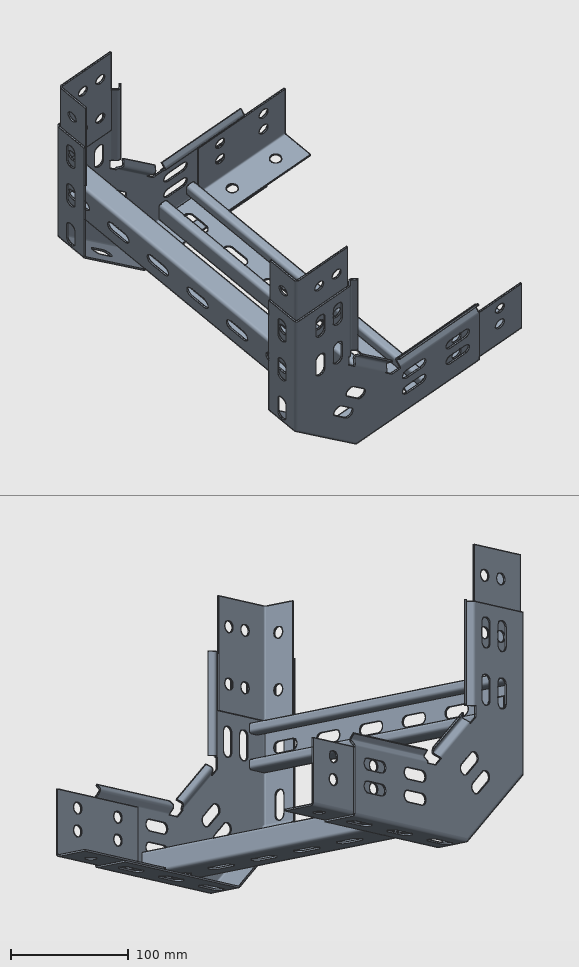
import cadquery as cq
import math


thickness = 1.5
outer_bend = 3.0
inner_bend = outer_bend - thickness

overall_width = 303.0
leg_length = 211.0
leg_height = 60.5
flange_width = 34.8
outer_chamfer = 69.5
inner_chamfer = 49.5
outer_face_x = -overall_width / 2
inner_face_x = outer_face_x + thickness

leg_lip_length = 91.0
corner_lip_length = 51.5
lip_height = 12.0
lip_apex_depth = 5.5
lip_knee_height = 1.2

hole_diameter = 10.3
slot_length = 27.0
hole_pitch = 50.0
hole_margin = hole_pitch / 2
flange_hole_inset = 18.2
wall_row_heights = [28.0, 48.0]
flange_slot_x = outer_face_x + flange_hole_inset
slot_stations = [leg_length - hole_margin - i * hole_pitch for i in range(3)]

splice_length = 100.0
splice_overhang = 50.0
splice_end = leg_length + splice_overhang

rung_width = 41.0
rung_height = 21.2
rung_lip_width = 8.0
rung_lip_drop = 10.0
rung_slot_count = 6
rung_station = slot_stations[1]
rung_length = overall_width - 2 * outer_bend


def other_leg(body):
    """Mirror a body from the Y leg to the Z leg."""
    return body.mirror((0, 1, -1))


def other_side(body):
    """Mirror a body from the -X side to the +X side."""
    return body.mirror("YZ")


def bend_arcs(path, offset):
    """Start, middle and end of the arc at each bend of a line offset to the left of a sheet's midline."""
    middle_radius = inner_bend + thickness / 2
    arcs = []
    for before, corner, after in zip(path, path[1:], path[2:]):
        corner = cq.Vector(*corner)
        incoming = (corner - cq.Vector(*before)).normalized()
        outgoing = (cq.Vector(*after) - corner).normalized()
        turn = math.copysign(1, incoming.cross(outgoing).z)
        half_angle = incoming.getAngle(outgoing) / 2
        to_center = (outgoing - incoming).normalized()
        center = corner + to_center * (middle_radius / math.cos(half_angle))
        radius = middle_radius - turn * offset
        start = center + cq.Vector(incoming.y, -incoming.x) * (turn * radius)
        end = center + cq.Vector(outgoing.y, -outgoing.x) * (turn * radius)
        arcs.append((start, center - to_center * radius, end))
    return arcs


def bent_strip(plane, path):
    """Closed cross-section of a sheet that follows a midline path, with rounded bends."""
    half = thickness / 2
    first, second, second_last, last = [cq.Vector(*p) for p in (path[0], path[1], path[-2], path[-1])]
    start_direction = (second - first).normalized()
    end_direction = (last - second_last).normalized()
    start_left = cq.Vector(-start_direction.y, start_direction.x) * half
    end_left = cq.Vector(-end_direction.y, end_direction.x) * half

    section = cq.Workplane(plane).moveTo(*(first + start_left).toTuple()[:2])
    left_arcs = bend_arcs(path, half)
    right_arcs = [arc[::-1] for arc in reversed(bend_arcs(path, -half))]
    for arcs, side_end in ((left_arcs, last + end_left), (right_arcs, first - start_left)):
        for start, middle, end in arcs:
            section = section.lineTo(start.x, start.y)
            section = section.threePointArc((middle.x, middle.y), (end.x, end.y))
        section = section.lineTo(side_end.x, side_end.y)
        if arcs is left_arcs:
            right_end = last - end_left
            section = section.lineTo(right_end.x, right_end.y)
    return section.close()


def chamfered_corner(inset):
    """Square block with the outer corner of the bend cut off, its outer edges rounded."""
    chamfer_end = outer_chamfer + inset * (math.sqrt(2) - 1)
    return (
        cq.Workplane("YZ", origin=(outer_face_x + inset, 0, 0))
        .moveTo(leg_length, inset)
        .lineTo(chamfer_end, inset)
        .lineTo(inset, chamfer_end)
        .lineTo(inset, leg_length)
        .lineTo(leg_length, leg_length)
        .close()
        .extrude(flange_width - inset)
        .edges("(|X or <X) and (not (>Y or >Z))")
        .fillet(outer_bend - inset)
    )


def slot(plane, length=slot_length):
    """Cutter for a slot along a plane's local X, just deep enough to pass one sheet."""
    return cq.Workplane(plane).slot2D(length, hole_diameter).extrude(2 * thickness, both=True)


def wall_plane(y, z, along):
    """Plane on the side wall with its local X in the given direction."""
    return cq.Plane((inner_face_x, y, z), xDir=along, normal=(1, 0, 0))


def lip(edge_middle, outward, length):
    """V-shaped lip standing on an inner edge of the side wall, pointing outward."""
    along = (0, -outward[2], outward[1])
    plane = cq.Plane((outer_face_x, *edge_middle), xDir=(1, 0, 0), normal=along)
    half = thickness / 2
    apex_height = lip_knee_height + lip_apex_depth
    end_height = lip_height - half * math.sqrt(0.5)
    path = [
        (half, 0),
        (half, lip_knee_height),
        (half + lip_apex_depth, apex_height),
        (half + lip_apex_depth - (end_height - apex_height), end_height),
    ]
    return bent_strip(plane, path).extrude(length / 2, both=True)


def make_side_plate():
    """Folded plate on the -X side: bent wall, flange round the outside and three lips."""
    reach = leg_height + inner_chamfer
    opening = (
        cq.Workplane("YZ", origin=(outer_face_x, 0, 0))
        .moveTo(leg_length, leg_height)
        .lineTo(reach, leg_height)
        .lineTo(leg_height, reach)
        .lineTo(leg_height, leg_length)
        .lineTo(leg_length, leg_length)
        .close()
        .extrude(flange_width)
    )
    plate = chamfered_corner(0).cut(chamfered_corner(thickness)).cut(opening)

    leg_lip = lip((leg_length - leg_lip_length / 2, leg_height), (0, 0, 1), leg_lip_length)
    diagonal = math.sqrt(0.5)
    edge_middle = leg_height + inner_chamfer / 2
    corner_lip = lip((edge_middle, edge_middle), (0, diagonal, diagonal), corner_lip_length)
    plate = plate.union(leg_lip).union(other_leg(leg_lip)).union(corner_lip)

    for station in slot_stations:
        flange_plane = cq.Plane((flange_slot_x, station, 0), xDir=(0, 1, 0), normal=(0, 0, 1))
        cutter = slot(flange_plane)
        plate = plate.cut(cutter).cut(other_leg(cutter))
    for station in slot_stations[:2]:
        for height in wall_row_heights:
            cutter = slot(wall_plane(station, height, (0, 1, 0)))
            plate = plate.cut(cutter).cut(other_leg(cutter))

    chamfer_middle = outer_chamfer / 2
    for height in wall_row_heights:
        middle = chamfer_middle + height * diagonal
        plate = plate.cut(slot(wall_plane(middle, middle, (0, 1, -1))))
    diagonal_plane = cq.Plane(
        (flange_slot_x, chamfer_middle, chamfer_middle), xDir=(0, 1, -1), normal=(0, 1, 1)
    )
    return plate.cut(slot(diagonal_plane))


def make_splice():
    """Splice angle inside the end of the Y leg on the -X side."""
    middle_x = inner_face_x + thickness / 2
    middle_z = thickness * 3 / 2
    path = [(middle_x, leg_height), (middle_x, middle_z), (outer_face_x + flange_width, middle_z)]
    plane = cq.Plane((0, splice_end, 0), xDir=(1, 0, 0), normal=(0, -1, 0))
    splice = bent_strip(plane, path).extrude(splice_length)
    for i in range(2):
        station = splice_end - hole_margin - i * hole_pitch
        floor_hole = (
            cq.Workplane("XY", origin=(flange_slot_x, station, thickness))
            .circle(hole_diameter / 2)
            .extrude(thickness)
        )
        splice = splice.cut(floor_hole)
        for height in wall_row_heights:
            wall_hole = (
                cq.Workplane("YZ", origin=(inner_face_x, station, height))
                .circle(hole_diameter / 2)
                .extrude(thickness)
            )
            splice = splice.cut(wall_hole)
    return splice


def make_rung():
    """Slotted, lipped channel lying on the flanges of the Y legs, open upward."""
    half = thickness / 2
    side = rung_width / 2 - half
    bottom = thickness + half
    top = thickness + rung_height - half
    lip_edge = rung_width / 2 - rung_lip_width - half
    lip_end = thickness + rung_height - rung_lip_drop
    half_path = [(side, bottom), (side, top), (lip_edge, top), (lip_edge, lip_end)]
    path = [(-y, z) for y, z in reversed(half_path)] + half_path
    plane = cq.Plane((0, rung_station, 0), xDir=(0, 1, 0), normal=(1, 0, 0))
    rung = bent_strip(plane, path).extrude(rung_length / 2, both=True)
    for i in range(rung_slot_count):
        slot_x = (i - (rung_slot_count - 1) / 2) * hole_pitch
        slot_plane = cq.Plane((slot_x, rung_station, bottom), xDir=(1, 0, 0), normal=(0, 0, 1))
        rung = rung.cut(slot(slot_plane))
    return rung


left_plate = make_side_plate()
side_plates = [left_plate, other_side(left_plate)]

left_splice = make_splice()
left_splices = [left_splice, other_leg(left_splice)]
splices = left_splices + [other_side(splice) for splice in left_splices]

floor_rung = make_rung()
rungs = [floor_rung, other_leg(floor_rung)]

result = cq.Compound.makeCompound([body.val() for body in side_plates + splices + rungs])